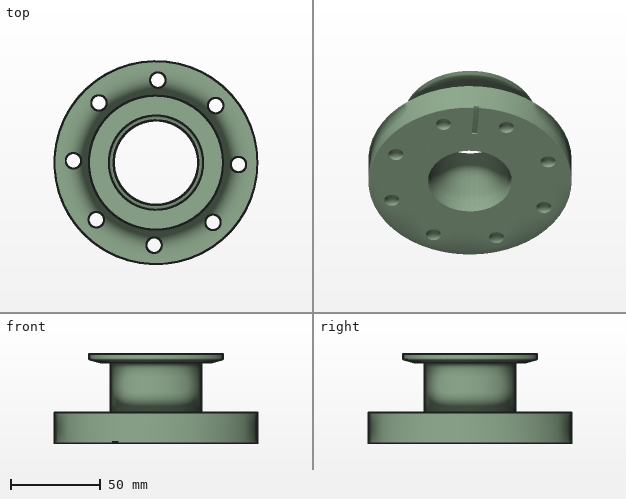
import cadquery as cq
import math

total_height = 50.0
ring_height = 17.5
insert_height = 12.6
kf_top_recess_depth = 2.6
kf_lip_thickness = 1.0
kf_height = 5.1

tube_diameter = 51.1
tube_bore = 46.7

ring_diameter = 113.5
ring_bore = 72.6
ring_outer_chamfer = 0.2
ring_bore_chamfer = 0.2
bolt_count = 8
bolt_hole_diameter = 8.4
bolt_circle_diameter = 92.1
bolt_hole_chamfer = 0.2
bolt_pattern_angle = -1.3
groove_width = 2.8
groove_height = 1.0
groove_pitches = 2.5

kf_diameter = 75.0
kf_cone_angle = 15.0
kf_foot_diameter = 60.1
kf_top_chamfer = 0.2
kf_rim_fillet = 1.0
kf_recess_diameter = 52.4
kf_recess_chamfer = 0.2
kf_lip_bore = 47.7

kf_bottom = total_height - kf_height
kf_recess_floor = total_height - kf_top_recess_depth
tube_top = kf_recess_floor - kf_lip_thickness
bolt_pitch = 360.0 / bolt_count
groove_angle = bolt_pattern_angle - groove_pitches * bolt_pitch


def cylinder(diameter, bottom, top):
    """Upright cylinder on the Z axis between two levels."""
    return cq.Workplane("XY").workplane(offset=bottom).circle(diameter / 2).extrude(top - bottom)


def make_bolt_holes():
    """Through holes with a small countersink at the top face, equally spaced around the ring."""
    hole_radius = bolt_hole_diameter / 2
    countersink_radius = hole_radius + bolt_hole_chamfer
    hole = (
        cq.Workplane("XZ")
        .lineTo(hole_radius, 0)
        .lineTo(hole_radius, ring_height - bolt_hole_chamfer)
        .lineTo(countersink_radius, ring_height)
        .lineTo(0, ring_height)
        .close()
        .revolve(360, (0, 0, 0), (0, 1, 0))
        .translate((bolt_circle_diameter / 2, 0, 0))
    )
    holes = cq.Workplane("XY")
    for index in range(bolt_count):
        angle = bolt_pattern_angle + index * bolt_pitch
        holes = holes.add(hole.rotate((0, 0, 0), (0, 0, 1), angle))
    return holes.combine()


def make_leak_check_groove():
    """Radial groove across the bottom face, from the bore out through the rim."""
    return (
        cq.Workplane("XY")
        .box(ring_diameter / 2, groove_width, groove_height, centered=(False, True, False))
        .rotate((0, 0, 0), (0, 0, 1), groove_angle)
    )


def make_bolt_ring():
    """Chamfered outer ring with the bolt holes and the leak-check groove."""
    ring = cylinder(ring_diameter, 0, ring_height).edges("%CIRCLE").chamfer(ring_outer_chamfer)
    ring = ring.cut(cylinder(ring_bore, 0, ring_height))
    bore_top_edge = cq.selectors.RadiusNthSelector(0)
    ring = ring.faces(">Z").edges(bore_top_edge).chamfer(ring_bore_chamfer)
    return ring.cut(make_bolt_holes()).cut(make_leak_check_groove())


def make_insert():
    """Disc that fills the ring bore below the top recess."""
    return cylinder(ring_bore, 0, insert_height).cut(cylinder(tube_bore, 0, insert_height))


def make_tube():
    """Tube standing on the insert, its top end seated in the clamp flange."""
    return cylinder(tube_diameter, insert_height, tube_top).cut(cylinder(tube_bore, insert_height, tube_top))


def make_kf_flange():
    """Conical clamp flange with a top recess, a lip and a socket for the tube end."""
    rim_radius = kf_diameter / 2
    foot_radius = kf_foot_diameter / 2
    cone_rise = (rim_radius - foot_radius) * math.tan(math.radians(kf_cone_angle))
    rim_bottom = kf_bottom + cone_rise

    flange = (
        cq.Workplane("XZ")
        .moveTo(0, kf_bottom)
        .lineTo(foot_radius, kf_bottom)
        .lineTo(rim_radius, rim_bottom)
        .lineTo(rim_radius, total_height)
        .lineTo(0, total_height)
        .close()
        .revolve(360, (0, 0, 0), (0, 1, 0))
    )
    rim_edges = cq.selectors.RadiusNthSelector(-1)
    flange = flange.edges(rim_edges).edges("<Z").fillet(kf_rim_fillet)
    flange = flange.faces(">Z").edges().chamfer(kf_top_chamfer)

    recess = cylinder(kf_recess_diameter, kf_recess_floor, total_height)
    lip_hole = cylinder(kf_lip_bore, tube_top, kf_recess_floor)
    tube_socket = cylinder(tube_diameter, kf_bottom, tube_top)
    flange = flange.cut(recess).cut(lip_hole).cut(tube_socket)
    recess_edge = cq.selectors.RadiusNthSelector(0)
    return flange.faces(">Z").edges(recess_edge).chamfer(kf_recess_chamfer)


bolt_ring = make_bolt_ring()
insert = make_insert()
tube = make_tube()
kf_flange = make_kf_flange()

result = cq.Compound.makeCompound([bolt_ring.val(), insert.val(), tube.val(), kf_flange.val()])